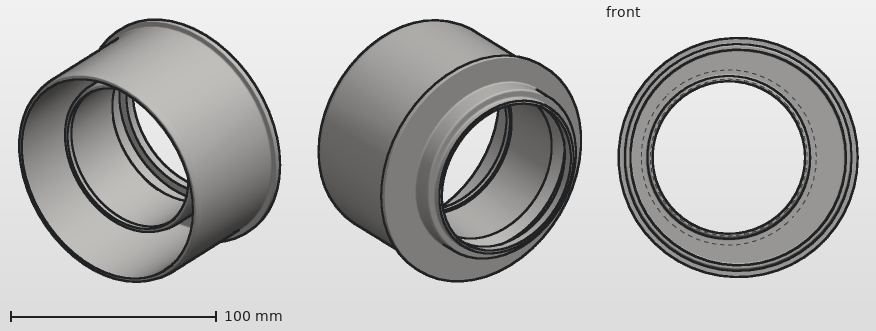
import cadquery as cq


flange_start = 59.0
flange_end = 62.3
floor_y = 59.6
seat_end = 72.2
total_length = 75.6
tube_start = 22.2

flange_diameter = 116.2
barrel_diameter = 110.2
barrel_mouth = 104.8
barrel_bore = 104.5
seat_diameter = 87.8
groove_diameter = 85.1
collar_diameter = 79.2
tube_diameter = 79.1
socket_bore = 76.1
stop_bore = 73.9

socket_offset = -4.5

mouth_taper_length = 1.4
lead_in_length = 3.5
lead_in_depth = 0.8
tip_round = 0.6
root_fillet = 1.0
seat_fillet = 1.0
small_fillet = 0.8
flange_round = 0.3
stop_length = 3.0
flare_start = 59.3
groove_start = 63.7
groove_end = 70.5


def cylinder(diameter, start, end, center_x=0.0):
    """Solid cylinder along Y between two Y positions."""
    origin = (center_x, start, 0)
    plane = cq.Plane(origin=origin, xDir=(1, 0, 0), normal=(0, 1, 0))
    return cq.Workplane(plane).circle(diameter / 2).extrude(end - start)


def cone(start_diameter, end_diameter, start, end, center_x=0.0):
    """Solid truncated cone along Y between two Y positions."""
    return (
        cq.Workplane("XY")
        .moveTo(0, start)
        .lineTo(start_diameter / 2, start)
        .lineTo(end_diameter / 2, end)
        .lineTo(0, end)
        .close()
        .revolve(360, (0, 0, 0), (0, 1, 0))
        .translate((center_x, 0, 0))
    )


def spigot(diameter, start, end, center_x=0.0):
    """Solid cylinder whose -Y end has a shallow lead-in taper and a rounded tip."""
    radius = diameter / 2
    tip_radius = radius - lead_in_depth
    body = (
        cq.Workplane("XY")
        .moveTo(0, start)
        .lineTo(tip_radius, start)
        .lineTo(radius, start + lead_in_length)
        .lineTo(radius, end)
        .lineTo(0, end)
        .close()
        .revolve(360, (0, 0, 0), (0, 1, 0))
        .translate((center_x, 0, 0))
    )
    return body.faces("<Y").edges().fillet(tip_round)


def root_ring(diameter, root_y, direction, radius, outward=True):
    """Concave fillet ring between a cylinder and the flat wall at root_y.

    direction is the way along Y from the wall into the open space. With outward the
    ring surrounds the cylinder; otherwise it lines the inside of a bore.
    """
    side = 1 if outward else -1
    wall = diameter / 2
    far_wall = wall + side * radius
    far_y = root_y + direction * radius
    bulge = radius * (1 - 0.5 ** 0.5)
    return (
        cq.Workplane("XY")
        .moveTo(wall, root_y)
        .lineTo(far_wall, root_y)
        .threePointArc((wall + side * bulge, root_y + direction * bulge), (wall, far_y))
        .close()
        .revolve(360, (0, 0, 0), (0, 1, 0))
    )


barrel = spigot(barrel_diameter, 0, flange_end)
barrel = barrel.cut(cylinder(barrel_bore, 0, floor_y))
barrel = barrel.cut(cone(barrel_mouth, barrel_bore, 0, mouth_taper_length))
barrel = barrel.union(root_ring(barrel_bore, floor_y, -1, root_fillet, outward=False))

flange = cylinder(flange_diameter, flange_start, flange_end).edges().fillet(flange_round)
body = barrel.union(flange.cut(cylinder(barrel_bore, 0, floor_y)))
body = body.union(root_ring(barrel_diameter, flange_start, -1, small_fillet))

seat = cylinder(seat_diameter, floor_y, seat_end, socket_offset)
seat = seat.faces(">Y").edges().fillet(seat_fillet)
body = body.union(seat)
body = body.union(cylinder(collar_diameter, floor_y, total_length, socket_offset))

body = body.union(spigot(tube_diameter, tube_start, total_length, socket_offset))

for diameter, root_y, direction, radius in (
    (seat_diameter, flange_end, 1, small_fillet),
    (collar_diameter, seat_end, 1, root_fillet),
    (tube_diameter, floor_y, -1, root_fillet),
):
    ring = root_ring(diameter, root_y, direction, radius)
    body = body.union(ring.translate((socket_offset, 0, 0)))

body = body.cut(cylinder(stop_bore, tube_start, total_length, socket_offset))
body = body.cut(cylinder(socket_bore, tube_start + stop_length, total_length, socket_offset))
body = body.cut(cone(socket_bore, groove_diameter, flare_start, groove_start, socket_offset))
body = body.cut(cylinder(groove_diameter, groove_start, groove_end, socket_offset))

result = body